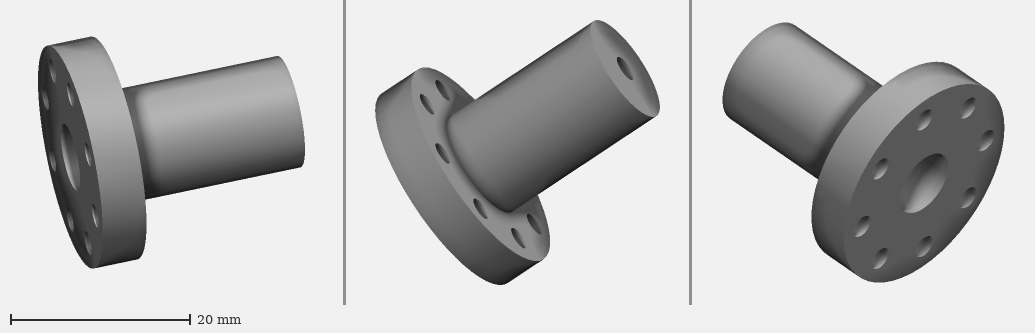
import cadquery as cq

flange_diameter = 25.4
flange_thickness = 5.08

hub_diameter = flange_diameter / 2
overall_length = flange_diameter

bore_diameter = 7.62
end_wall_thickness = flange_thickness
bore_depth = overall_length - end_wall_thickness
end_hole_diameter = 3.05

bolt_hole_count = 8
bolt_hole_diameter = 2.7
bolt_circle_diameter = 19.56


def cylinder_along_y(diameter, start_y, length):
    """Solid cylinder on the part axis, running from start_y toward +Y."""
    plane = cq.Plane(origin=(0, start_y, 0), xDir=(1, 0, 0), normal=(0, 1, 0))
    return cq.Workplane(plane).circle(diameter / 2).extrude(length)


def flanged_hub():
    flange = cylinder_along_y(flange_diameter, 0, flange_thickness)
    hub = cylinder_along_y(hub_diameter, flange_thickness, overall_length - flange_thickness)
    return flange.union(hub)


def stepped_bore():
    bore = cylinder_along_y(bore_diameter, 0, bore_depth)
    end_hole = cylinder_along_y(end_hole_diameter, 0, overall_length)
    return bore.union(end_hole)


def bolt_holes():
    first_hole = cylinder_along_y(bolt_hole_diameter, 0, flange_thickness)
    first_hole = first_hole.translate((bolt_circle_diameter / 2, 0, 0))
    holes = cq.Workplane()
    for index in range(bolt_hole_count):
        angle = index * 360 / bolt_hole_count
        holes = holes.add(first_hole.rotate((0, 0, 0), (0, 1, 0), angle))
    return holes.combine()


result = flanged_hub().cut(stepped_bore()).cut(bolt_holes())